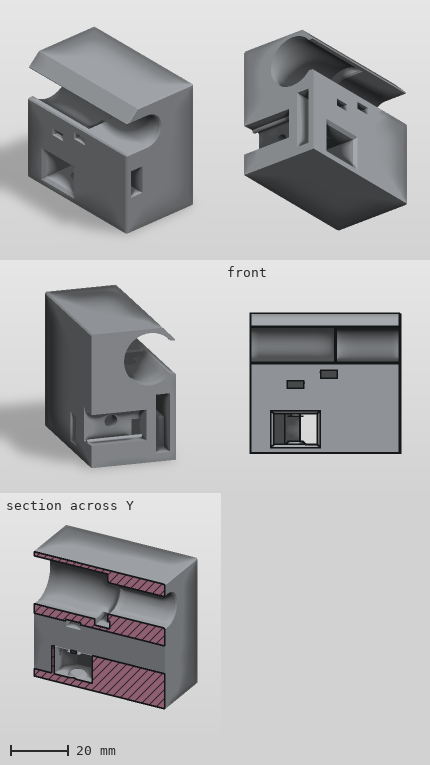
import cadquery as cq
import math

LENGTH = 52.0
DEPTH = 30.9
HEIGHT = 48.5
EDGE_CHAMFER = 0.5

BORE_Y = 9.5
BORE_Z = 37.5
LARGE_BORE_RADIUS = 9.5
SMALL_BORE_RADIUS = 6.0
SHOULDER_X = 29.15
SHOULDER_CHAMFER = 0.6
LIP_CHAMFER = 5.0

WINDOW_X0 = 8.15
WINDOW_X1 = 23.1
WINDOW_Z0 = 3.0
WINDOW_Z1 = 13.6
WINDOW_TAPER = 1.1
CAVITY_SIDE_DEPTH = 13.6
CAVITY_CORNER = 3.7
REAR_CHANNEL_X0 = 17.2

PIVOT_X = 15.65
CONE_Y = 10.5
PIN_Y = 8.2
CONE_BASE_RADIUS = 3.5
CONE_TOP_RADIUS = 2.5
CONE_HEIGHT = 1.0
PIN_RADIUS = 1.5
COLLAR_RADIUS = 2.5
COLLAR_THICKNESS = 0.1
COLLAR_Z = 12.7

NOTCH_Y0 = 10.9
NOTCH_Z0 = 8.1
NOTCH_Z1 = 19.3
NOTCH_DEPTH = WINDOW_X0
RIB_X = 5.3
RIB_RADIUS = 0.85
RIB_RISE = 0.7
NOTCH_FLARE = 0.6
NOTCH_ROOT_CHAMFER = 0.3
NOTCH_HOLE_DIAMETER = 4.6
NOTCH_HOLE_Y = 21.1
NOTCH_HOLE_DEPTH = 6.0

SLOT_Y0 = 2.2
SLOT_Y1 = 7.3
SLOT_Z0 = 3.1
SLOT_STEP_Z = 13.8
SLOT_Z1 = 24.4
SLOT_LOWER_DEPTH = 7.0

POCKET_WIDTH = 5.7
POCKET_HEIGHT = 2.7
POCKET_DEPTH = 16.0
POCKET_CORNERS = [(12.8, 22.4), (24.3, 25.9)]


def box(x0, x1, y0, y1, z0, z1):
    """Box between two opposite corners."""
    return cq.Workplane("XY").box(x1 - x0, y1 - y0, z1 - z0, centered=False).translate((x0, y0, z0))


def cylinder_x(radius, x0, x1, y, z):
    """Cylinder along X."""
    return cq.Workplane("YZ", origin=(x0, y, z)).circle(radius).extrude(x1 - x0)


def make_block():
    """Block with the open small bore, its lips and the chamfered right end."""
    slot_low = BORE_Z - SMALL_BORE_RADIUS
    slot_high = BORE_Z + SMALL_BORE_RADIUS
    lip_y = slot_high + LIP_CHAMFER - HEIGHT
    profile = (
        cq.Workplane("YZ")
        .moveTo(0, 0)
        .lineTo(DEPTH, 0)
        .lineTo(DEPTH, HEIGHT)
        .lineTo(LIP_CHAMFER, HEIGHT)
        .lineTo(lip_y, slot_high)
        .lineTo(BORE_Y, slot_high)
        .threePointArc((BORE_Y + SMALL_BORE_RADIUS, BORE_Z), (BORE_Y, slot_low))
        .lineTo(0, slot_low)
        .close()
    )
    block = profile.extrude(LENGTH)
    end_edges = block.faces(">X").edges("not <Z").vals()
    long_edges = [
        block.edges(cq.selectors.NearestToPointSelector((LENGTH / 2, y, z))).val()
        for y, z in ((DEPTH, HEIGHT), (lip_y, slot_high), (0, slot_low))
    ]
    return block.newObject(end_edges + long_edges).chamfer(EDGE_CHAMFER)


def make_large_bore():
    """Large bore, with the chamfer that eases its shoulder into the small bore."""
    bore = cylinder_x(LARGE_BORE_RADIUS, 0, SHOULDER_X, BORE_Y, BORE_Z)
    wires = [
        open_bore_outline(SHOULDER_X, SMALL_BORE_RADIUS + SHOULDER_CHAMFER),
        open_bore_outline(SHOULDER_X + SHOULDER_CHAMFER, SMALL_BORE_RADIUS),
    ]
    return bore.union(cq.Workplane(cq.Solid.makeLoft(wires, True)))


def open_bore_outline(x, radius):
    """U-shaped outline of the small bore at one X, reaching forward to the mouth of the large bore."""
    mouth_y = BORE_Y - math.sqrt(LARGE_BORE_RADIUS**2 - SMALL_BORE_RADIUS**2)
    return (
        cq.Workplane("YZ", origin=(x, 0, 0))
        .moveTo(mouth_y, BORE_Z + radius)
        .lineTo(BORE_Y, BORE_Z + radius)
        .threePointArc((BORE_Y + radius, BORE_Z), (BORE_Y, BORE_Z - radius))
        .lineTo(mouth_y, BORE_Z - radius)
        .close()
        .val()
    )


def make_window():
    """Tapered front window, its cavity and the channel through the back."""
    middle_x = (WINDOW_X0 + WINDOW_X1) / 2
    middle_z = (WINDOW_Z0 + WINDOW_Z1) / 2
    width = WINDOW_X1 - WINDOW_X0
    height = WINDOW_Z1 - WINDOW_Z0
    mouth = (
        cq.Workplane("XZ", origin=(middle_x, 0, middle_z))
        .rect(width + 2 * WINDOW_TAPER, height + 2 * WINDOW_TAPER)
        .workplane(offset=-WINDOW_TAPER)
        .rect(width, height)
        .loft(ruled=True)
    )
    cavity = (
        cq.Workplane("XY", origin=(0, 0, WINDOW_Z0))
        .moveTo(WINDOW_X0, WINDOW_TAPER)
        .lineTo(WINDOW_X1, WINDOW_TAPER)
        .lineTo(WINDOW_X1, DEPTH)
        .lineTo(REAR_CHANNEL_X0, DEPTH)
        .lineTo(REAR_CHANNEL_X0, CAVITY_SIDE_DEPTH + CAVITY_CORNER)
        .lineTo(WINDOW_X0 + CAVITY_CORNER, CAVITY_SIDE_DEPTH + CAVITY_CORNER)
        .lineTo(WINDOW_X0, CAVITY_SIDE_DEPTH)
        .close()
        .extrude(height)
    )
    return mouth.union(cavity)


def make_pivot():
    """Cone on the cavity floor and collared pin under the cavity ceiling."""
    floor = cq.Workplane("XY", origin=(PIVOT_X, CONE_Y, WINDOW_Z0))
    cone = floor.circle(CONE_BASE_RADIUS).workplane(offset=CONE_HEIGHT).circle(CONE_TOP_RADIUS).loft()
    level = cq.Workplane("XY", origin=(PIVOT_X, PIN_Y, COLLAR_Z))
    collar = level.circle(COLLAR_RADIUS).extrude(COLLAR_THICKNESS)
    pin = level.circle(PIN_RADIUS).extrude(WINDOW_Z1 - COLLAR_Z)
    return cone.union(collar).union(pin)


def make_notch():
    """Side notch that widens inward, with snap ribs, root chamfers and a blind hole."""
    root_z0 = NOTCH_Z0 - NOTCH_FLARE
    root_z1 = NOTCH_Z1 + NOTCH_FLARE
    flat_x = NOTCH_DEPTH - NOTCH_ROOT_CHAMFER
    notch = (
        cq.Workplane("XZ", origin=(0, NOTCH_Y0, 0))
        .moveTo(0, NOTCH_Z0)
        .lineTo(flat_x, root_z0)
        .lineTo(NOTCH_DEPTH, root_z0 + NOTCH_ROOT_CHAMFER)
        .lineTo(NOTCH_DEPTH, root_z1 - NOTCH_ROOT_CHAMFER)
        .lineTo(flat_x, root_z1)
        .lineTo(0, NOTCH_Z1)
        .close()
        .extrude(NOTCH_Y0 - DEPTH)
    )
    for rib_z in (NOTCH_Z0 + RIB_RISE - RIB_RADIUS, NOTCH_Z1 - RIB_RISE + RIB_RADIUS):
        rib = (
            cq.Workplane("XZ", origin=(RIB_X, NOTCH_Y0, rib_z))
            .circle(RIB_RADIUS)
            .extrude(NOTCH_Y0 - DEPTH)
        )
        notch = notch.cut(rib)
    hole_z = (NOTCH_Z0 + NOTCH_Z1) / 2
    hole_end = NOTCH_DEPTH + NOTCH_HOLE_DEPTH
    hole = cylinder_x(NOTCH_HOLE_DIAMETER / 2, NOTCH_DEPTH, hole_end, NOTCH_HOLE_Y, hole_z)
    return notch.union(hole)


def make_long_slot():
    """Slot through the whole length above the step, and a blind recess in the left end below it."""
    upper = box(0, LENGTH, SLOT_Y0, SLOT_Y1, SLOT_STEP_Z, SLOT_Z1)
    lower = box(0, SLOT_LOWER_DEPTH, SLOT_Y0, SLOT_Y1, SLOT_Z0, SLOT_STEP_Z)
    return upper.union(lower)


def make_pockets():
    """Rectangular pockets in the front face."""
    pockets = cq.Workplane("XY")
    for x, z in POCKET_CORNERS:
        pockets = pockets.union(box(x, x + POCKET_WIDTH, 0, POCKET_DEPTH, z, z + POCKET_HEIGHT))
    return pockets


result = make_block().cut(make_large_bore())
result = result.cut(make_window()).cut(make_notch()).cut(make_long_slot()).cut(make_pockets())
result = result.union(make_pivot())